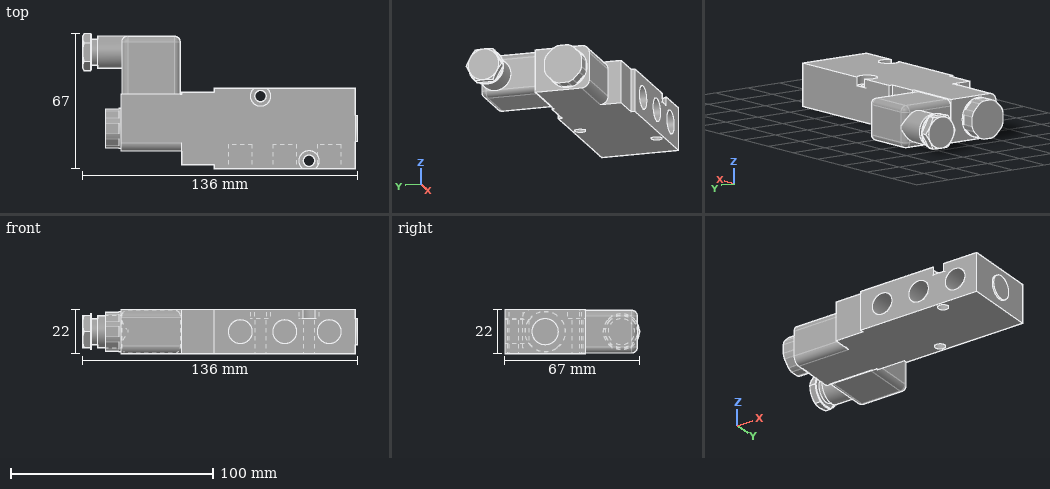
import cadquery as cq
import math


height = 22.0
body_length = 70.0
body_width = 40.0
port_diameter = 11.8
port_depth = 12.0
port_pitch = 22.0
port_count = 3
mount_spacing_x = 24.0
mount_spacing_y = 32.0
mount_hole_diameter = 5.5
mount_bore_diameter = 10.0
mount_bore_depth = 4.4
end_boss_diameter = 13.0
end_boss_length = 0.9

adapter_length = 16.1
adapter_width = 36.0

coil_length = 30.0
coil_front_y = -11.2
coil_back_y = 17.0
coil_fillet = 4.0

nut_radius = 10.0
nut_length = 7.7
nut_flat_length = 6.7
nut_flat_distance = 9.7
nut_flat_count = 8

plug_length = 29.0
plug_inset = 0.4
plug_height = 21.3
plug_back_y = 45.7
plug_fillet = 3.0

gland_y = 37.75
gland_diameter = 16.0
gland_length = 12.0
neck_diameter = 13.0
neck_length = 2.9
washer_diameter = 17.8
washer_thickness = 0.5
hex_flats = 16.0
hex_length = 4.0
hex_face_diameter = 15.8
hex_chamfer_length = 0.8

body_center_x = body_length / 2
coil_end_x = -adapter_length
coil_start_x = coil_end_x - coil_length
plug_start_x = coil_start_x + plug_inset
gland_start_x = plug_start_x - gland_length
neck_start_x = gland_start_x - neck_length
washer_start_x = neck_start_x - washer_thickness
hex_start_x = washer_start_x - hex_length


def block(x_start, x_end, y_start, y_end, z_size):
    """Box between X and Y limits, centred on Z = 0."""
    size_x = x_end - x_start
    size_y = y_end - y_start
    box = cq.Workplane("XY").box(size_x, size_y, z_size)
    return box.translate((x_start + size_x / 2, y_start + size_y / 2, 0))


def x_cylinder(x_start, x_end, y, diameter):
    """Cylinder along X with its axis at height Z = 0."""
    plane = cq.Workplane("YZ", origin=(x_start, y, 0))
    return plane.circle(diameter / 2).extrude(x_end - x_start)


def make_body():
    body = block(0, body_length, -body_width / 2, body_width / 2, height)
    boss = x_cylinder(body_center_x, body_length + end_boss_length, 0, end_boss_diameter)
    return body.union(boss)


def cut_ports(part):
    """Blind ports in a row on the front face."""
    face = cq.Workplane("XZ", origin=(body_center_x, -body_width / 2, 0))
    ports = face.rarray(port_pitch, 1, port_count, 1).circle(port_diameter / 2).extrude(-port_depth)
    return part.cut(ports)


def cut_mounting_holes(part):
    """Two diagonal through holes, counterbored from the top and open to the side faces."""
    for side in (-1, 1):
        x = body_center_x - side * mount_spacing_x / 2
        y = side * mount_spacing_y / 2
        top = cq.Workplane("XY", origin=(x, y, height / 2))
        part = part.cut(top.circle(mount_hole_diameter / 2).extrude(-height))
        part = part.cut(top.circle(mount_bore_diameter / 2).extrude(-mount_bore_depth))
    return part


def make_adapter():
    return block(coil_end_x, 0, -adapter_width / 2, adapter_width / 2, height)


def make_coil():
    coil = block(coil_start_x, coil_end_x, coil_front_y, coil_back_y, height)
    return coil.faces("<Y").edges("|X").fillet(coil_fillet)


def make_nut():
    nut_start_x = coil_start_x - nut_length
    nut = x_cylinder(nut_start_x, coil_start_x, 0, 2 * nut_radius)
    flat_end_x = nut_start_x + nut_flat_length
    cutter = block(nut_start_x, flat_end_x, nut_flat_distance, 2 * nut_radius, 2 * nut_radius)
    for index in range(nut_flat_count):
        angle = index * 360 / nut_flat_count
        nut = nut.cut(cutter.rotate((0, 0, 0), (1, 0, 0), angle))
    return nut


def make_plug():
    plug = block(plug_start_x, plug_start_x + plug_length, coil_back_y, plug_back_y, plug_height)
    return plug.edges("|Y or >Y").fillet(plug_fillet)


def make_gland_hex():
    """Hexagonal cap with corners toward +Y and -Y and a conical outer chamfer."""
    corner_diameter = hex_flats / math.cos(math.pi / 6)
    plane = cq.Workplane("YZ", origin=(hex_start_x, gland_y, 0))
    hexagon = plane.polygon(6, corner_diameter).extrude(hex_length)
    envelope = (
        cq.Workplane("XY")
        .moveTo(hex_start_x, 0)
        .lineTo(hex_start_x, hex_face_diameter / 2)
        .lineTo(hex_start_x + hex_chamfer_length, corner_diameter / 2)
        .lineTo(washer_start_x, corner_diameter / 2)
        .lineTo(washer_start_x, 0)
        .close()
        .revolve(360, (0, 0, 0), (1, 0, 0))
        .translate((0, gland_y, 0))
    )
    return hexagon.intersect(envelope)


def make_gland():
    sleeve_end_x = plug_start_x + plug_fillet
    sleeve = x_cylinder(gland_start_x, sleeve_end_x, gland_y, gland_diameter)
    neck = x_cylinder(neck_start_x, gland_start_x, gland_y, neck_diameter)
    washer = x_cylinder(washer_start_x, neck_start_x, gland_y, washer_diameter)
    return sleeve.union(neck).union(washer).union(make_gland_hex())


valve = make_body()
valve = cut_ports(valve)
valve = cut_mounting_holes(valve)
valve = valve.union(make_adapter())
valve = valve.union(make_coil())
valve = valve.union(make_nut())
valve = valve.union(make_plug())
result = valve.union(make_gland())